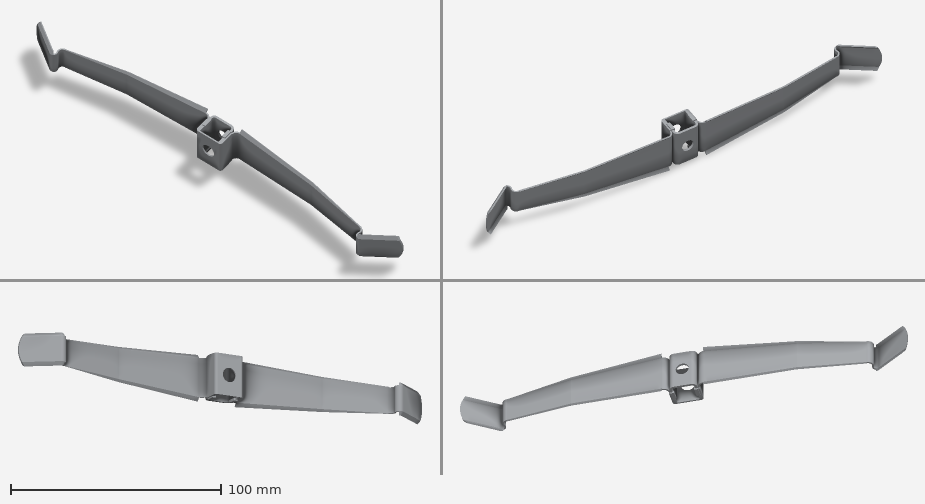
import cadquery as cq
import math

HALF_LENGTH = 219.5 / 2
BACK_Y = 8.1
FRONT_Y = -8.1

STRIP_T = 0.77
CHANNEL_HALF_WIDTH = 15.1 / 2
CHANNEL_HALF_HEIGHT = 20.5 / 2
CHANNEL_FRONT_Y = -5.0
CHANNEL_CORNER_R = 1.3
CHANNEL_INNER_R = CHANNEL_CORNER_R - STRIP_T
HOLE_D = 7.0

FLARE_INNER_R = 2.6
ROOT_X = CHANNEL_HALF_WIDTH + FLARE_INNER_R
FOLD_X = 55.3
FOLD_FRONT_Y = 3.3
ROOT_HALF_HEIGHT = 19.3 / 2
FOLD_HALF_HEIGHT = 15.0 / 2
TIP_HALF_HEIGHT = 13.0 / 2
ROOT_LIP_HEIGHT = 1.87
FOLD_LIP_HEIGHT = 1.2
TIP_LIP_HEIGHT = 0.2
ROOT_LIP_RISE = 1.43
FOLD_LIP_RISE = 0.9
TIP_LIP_RISE = 0.1
ROOT_LEAN = math.atan2(ROOT_LIP_RISE, ROOT_LIP_HEIGHT)
ROOT_FRONT_Y = BACK_Y - ROOT_LIP_RISE - STRIP_T * math.cos(ROOT_LEAN)
FLARE_CENTER_Y = ROOT_FRONT_Y - FLARE_INNER_R
TIP_FRONT_Y = -2.2

CURL_R = 2.2
CURL_X = 92.0
CURL_Y = FRONT_Y + CURL_R
SHOULDER_INNER_R = 2.0
SHOULDER_R = SHOULDER_INNER_R + STRIP_T
SHOULDER_Y = TIP_FRONT_Y + STRIP_T - SHOULDER_R
CURL_MID_R = CURL_R - STRIP_T / 2
SHOULDER_MID_R = SHOULDER_R - STRIP_T / 2
BEND_DX = math.sqrt((CURL_MID_R + SHOULDER_MID_R) ** 2 - (SHOULDER_Y - CURL_Y) ** 2)
SHOULDER_X = CURL_X - BEND_DX
BEND_ANGLE = math.degrees(math.atan2(SHOULDER_Y - CURL_Y, BEND_DX))
PADDLE_ANGLE = 34.5
PADDLE_HALF_HEIGHT = 12.5 / 2
PADDLE_LIP_HEIGHT = 1.87
PADDLE_LIP_RISE = 1.2
PADDLE_STOCK = 30.7
LIP_CURL_END = -60.0
TIP_EDGE_X = 108.5
TIP_LIP_X = 106.9

CLIP_T = 1.2
CLIP_HALF_WIDTH = CHANNEL_HALF_WIDTH - STRIP_T
CLIP_BACK_Y = 7.7
CLIP_FRONT_Y = CHANNEL_FRONT_Y + STRIP_T
CLIP_BEND_INNER_R = 1.3
CLIP_BEND_R = CLIP_BEND_INNER_R + CLIP_T
CLIP_HOLE_D = 6.4
EAR_FRONT_Y = -0.9
EAR_BACK_Y = 4.0
EAR_WIDTH = 1.87
EAR_RISE = 0.7
EAR_TOP = CHANNEL_HALF_HEIGHT + EAR_RISE
EAR_HEIGHT = 1.3


def polar(center, radius, angle):
    """Point at a radius and an angle in degrees around a center."""
    turn = math.radians(angle)
    return (center[0] + radius * math.cos(turn), center[1] + radius * math.sin(turn))


def bend(center, inner_r, thickness, start, end, half_height):
    """Strip of constant height bent around a Z axis, from one angle to another."""
    outer_r = inner_r + thickness
    middle = (start + end) / 2
    return (
        cq.Workplane("XY", origin=(0, 0, -half_height))
        .moveTo(*polar(center, inner_r, start))
        .threePointArc(polar(center, inner_r, middle), polar(center, inner_r, end))
        .lineTo(*polar(center, outer_r, end))
        .threePointArc(polar(center, outer_r, middle), polar(center, outer_r, start))
        .close()
        .extrude(2 * half_height)
    )


def lipped_section(front, half_height, lip_height, lip_rise):
    """Flat strip with an oblique lip on both edges, as (depth, height) points."""
    edge = half_height + lip_height
    lean = math.atan2(lip_rise, lip_height)
    back_half_height = half_height - STRIP_T * math.tan(lean / 2)
    back_edge = edge - STRIP_T * math.sin(lean)
    back_edge_depth = front + lip_rise + STRIP_T * math.cos(lean)
    return [
        (front + lip_rise, -edge),
        (front, -half_height),
        (front, half_height),
        (front + lip_rise, edge),
        (back_edge_depth, back_edge),
        (front + STRIP_T, back_half_height),
        (front + STRIP_T, -back_half_height),
        (back_edge_depth, -back_edge),
    ]


def arm_piece(outer, inner):
    """Tapered arm length between two stations of (x, front, height, lip height, lip rise)."""
    wires = []
    for x, *sizes in (outer, inner):
        points = [cq.Vector(-x, y, z) for y, z in lipped_section(*sizes)]
        wires.append(cq.Wire.makePolygon(points, close=True))
    return cq.Workplane(cq.Solid.makeLoft(wires, True))


def make_arm():
    tip = (SHOULDER_X, TIP_FRONT_Y, TIP_HALF_HEIGHT, TIP_LIP_HEIGHT, TIP_LIP_RISE)
    fold = (FOLD_X, FOLD_FRONT_Y, FOLD_HALF_HEIGHT, FOLD_LIP_HEIGHT, FOLD_LIP_RISE)
    root = (ROOT_X, ROOT_FRONT_Y, ROOT_HALF_HEIGHT, ROOT_LIP_HEIGHT, ROOT_LIP_RISE)
    return arm_piece(tip, fold).union(arm_piece(fold, root))


def make_s_bend():
    curl = bend((-CURL_X, CURL_Y), CURL_R - STRIP_T, STRIP_T, LIP_CURL_END, BEND_ANGLE, TIP_HALF_HEIGHT)
    shoulder = bend(
        (-SHOULDER_X, SHOULDER_Y), SHOULDER_INNER_R, STRIP_T, 90, 180 + BEND_ANGLE, TIP_HALF_HEIGHT
    )
    return curl.union(shoulder)


def make_paddle():
    slope = math.radians(PADDLE_ANGLE)
    plane = cq.Plane(
        origin=(-CURL_X, CURL_Y, 0),
        xDir=(0, 0, 1),
        normal=(-math.cos(slope), math.sin(slope), 0),
    )
    section = lipped_section(-CURL_R, PADDLE_HALF_HEIGHT, PADDLE_LIP_HEIGHT, PADDLE_LIP_RISE)
    profile = [(height, depth) for depth, height in section]
    plate = cq.Workplane(plane).polyline(profile).close().extrude(PADDLE_STOCK)

    edge = PADDLE_HALF_HEIGHT + PADDLE_LIP_HEIGHT
    outline = (
        cq.Workplane("XZ", origin=(0, HALF_LENGTH, 0))
        .moveTo(0, -edge)
        .lineTo(-TIP_LIP_X, -edge)
        .lineTo(-TIP_EDGE_X, -PADDLE_HALF_HEIGHT)
        .threePointArc((-HALF_LENGTH, 0), (-TIP_EDGE_X, PADDLE_HALF_HEIGHT))
        .lineTo(-TIP_LIP_X, edge)
        .lineTo(0, edge)
        .close()
        .extrude(2 * HALF_LENGTH)
    )
    sweep = LIP_CURL_END + 90 + PADDLE_ANGLE
    curl = cq.Workplane(plane).polyline(profile).close().revolve(sweep, (0, 0), (1, 0))
    return plate.intersect(outline).union(curl)


def make_channel():
    """Channel open to the back, with a hole through its front wall."""
    wall_end_y = FLARE_CENTER_Y
    inner = CHANNEL_HALF_WIDTH - STRIP_T
    floor_y = CHANNEL_FRONT_Y + STRIP_T
    channel = (
        cq.Workplane("XY", origin=(0, 0, -CHANNEL_HALF_HEIGHT))
        .polyline([
            (-CHANNEL_HALF_WIDTH, wall_end_y),
            (-CHANNEL_HALF_WIDTH, CHANNEL_FRONT_Y),
            (CHANNEL_HALF_WIDTH, CHANNEL_FRONT_Y),
            (CHANNEL_HALF_WIDTH, wall_end_y),
            (inner, wall_end_y),
            (inner, floor_y),
            (-inner, floor_y),
            (-inner, wall_end_y),
        ])
        .close()
        .extrude(2 * CHANNEL_HALF_HEIGHT)
    )
    channel = channel.faces("<Y").edges("|Z").fillet(CHANNEL_CORNER_R)
    channel = channel.faces(cq.selectors.NearestToPointSelector((0, floor_y, 0)))
    channel = channel.edges("|Z").fillet(CHANNEL_INNER_R)
    return channel.cut(make_hole(HOLE_D))


def make_hole(diameter):
    """Cutter along the depth, on the middle of the channel."""
    return cq.Workplane("XZ", origin=(0, BACK_Y, 0)).circle(diameter / 2).extrude(BACK_Y - FRONT_Y)


def make_spring_strip():
    flare = bend((-ROOT_X, FLARE_CENTER_Y), FLARE_INNER_R, STRIP_T, 0, 90, ROOT_HALF_HEIGHT)
    half = make_paddle().union(make_s_bend()).union(make_arm()).union(flare)
    return make_channel().union(half).union(half.mirror("YZ")).solids()


def make_clip():
    """U-shaped clip lining the channel, closed at the back and eared at both leg edges."""
    height = 2 * CHANNEL_HALF_HEIGHT
    depth = CLIP_BACK_Y - CLIP_FRONT_Y
    middle_y = (CLIP_BACK_Y + CLIP_FRONT_Y) / 2
    block = cq.Workplane("XY").box(2 * CLIP_HALF_WIDTH, depth, height)
    block = block.edges("|Z and >Y").fillet(CLIP_BEND_R)
    block = block.edges("|Z and <Y").fillet(CHANNEL_INNER_R)
    opening = cq.Workplane("XY").box(2 * (CLIP_HALF_WIDTH - CLIP_T), depth, height)
    opening = opening.edges("|Z and >Y").fillet(CLIP_BEND_INNER_R)
    clip = block.cut(opening.translate((0, -CLIP_T, 0))).translate((0, middle_y, 0))

    ear = cq.Workplane("XY").box(EAR_WIDTH, EAR_BACK_Y - EAR_FRONT_Y, EAR_HEIGHT)
    ear_x = CLIP_HALF_WIDTH - EAR_WIDTH / 2
    ear_y = (EAR_BACK_Y + EAR_FRONT_Y) / 2
    ear_z = EAR_TOP - EAR_HEIGHT / 2
    for x in (-ear_x, ear_x):
        for z in (-ear_z, ear_z):
            clip = clip.union(ear.translate((x, ear_y, z)))
    return clip.cut(make_hole(CLIP_HOLE_D)).solids()


spring_strip = make_spring_strip()
clip = make_clip()

result = cq.Compound.makeCompound([spring_strip.val(), clip.val()])